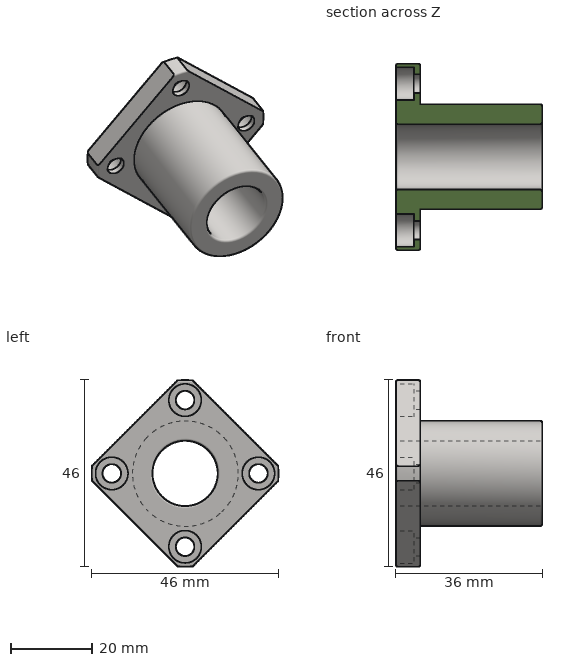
import cadquery as cq

flange_diameter = 46.0
flange_thickness = 6.02
flange_across_flats = 35.0
body_diameter = 26.0
total_length = 36.0
bore_diameter = 16.0

bolt_circle_radius = 18.02
bolt_hole_diameter = 4.5
counterbore_diameter = 8.0
counterbore_depth = 4.4

flange_edge_radius = 0.5
body_edge_radius = 0.6
bore_edge_radius = 0.6


def cylinder(diameter, length):
    """Cylinder along +X from the flange face."""
    return cq.Workplane("YZ").circle(diameter / 2).extrude(length)


def make_flange():
    """Round-edged disc trimmed by a square standing on one corner."""
    disc = cylinder(flange_diameter, flange_thickness).edges().fillet(flange_edge_radius)
    square = (
        cq.Workplane("YZ")
        .rect(flange_across_flats, flange_across_flats)
        .extrude(flange_thickness)
        .rotate((0, 0, 0), (1, 0, 0), 45)
    )
    return disc.intersect(square)


def make_body():
    """Cylindrical sleeve with a rounded far end."""
    return cylinder(body_diameter, total_length).faces(">X").edges().fillet(body_edge_radius)


def make_bore():
    """Cutter for the through bore, flared by a rounding at both mouths."""
    bore_radius = bore_diameter / 2
    mouth_radius = bore_radius + bore_edge_radius
    arc_offset = bore_edge_radius * 0.5 ** 0.5
    arc_mid_radius = mouth_radius - arc_offset
    arc_mid_depth = bore_edge_radius - arc_offset
    return (
        cq.Workplane("XY")
        .lineTo(0, mouth_radius)
        .threePointArc((arc_mid_depth, arc_mid_radius), (bore_edge_radius, bore_radius))
        .lineTo(total_length - bore_edge_radius, bore_radius)
        .threePointArc((total_length - arc_mid_depth, arc_mid_radius), (total_length, mouth_radius))
        .lineTo(total_length, 0)
        .close()
        .revolve(360, (0, 0, 0), (1, 0, 0))
    )


def make_bolt_holes():
    """Cutters for the four counterbored holes, one at each corner."""
    hole = cylinder(bolt_hole_diameter, flange_thickness)
    hole = hole.union(cylinder(counterbore_diameter, counterbore_depth))
    hole = hole.translate((0, bolt_circle_radius, 0))
    cutters = hole
    for angle in (90, 180, 270):
        cutters = cutters.union(hole.rotate((0, 0, 0), (1, 0, 0), angle))
    return cutters


result = make_flange().union(make_body()).cut(make_bore()).cut(make_bolt_holes())